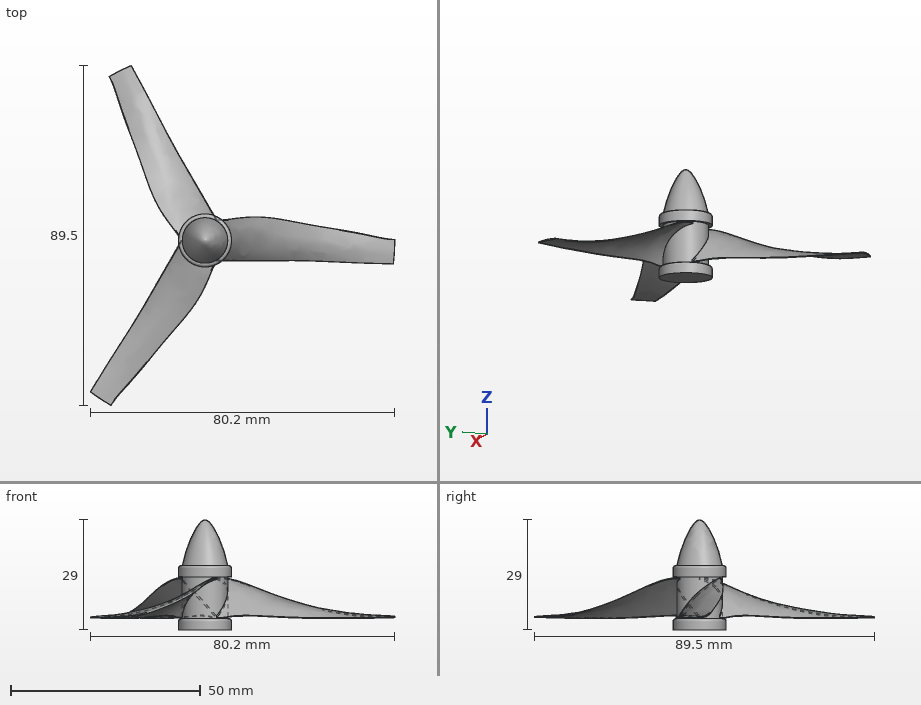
import cadquery as cq
import math

collar_diameter = 14.0
hub_diameter = 12.0
collar_height = 3.0
hub_height = 11.0
nose_height = 12.0
rim_fillet = 0.8

hub_radius = hub_diameter / 2
hub_bottom = collar_height
hub_top = hub_bottom + hub_height
nose_bottom = hub_top + collar_height
nose_tip = nose_bottom + nose_height

nose_base_handle = (5.0, 5.2)
nose_tip_handle = (2.0, nose_height)

blade_count = 3
propeller_radius = 50.0
blade_low_edge_thickness = 0.25
blade_high_edge_thickness = 0.3
blade_root_start = 3.0

blade_sections = [
    (4.8, (-5.30, 3.25), (5.30, 13.55), 1.15, 0.5),
    (10.0, (-5.30, 3.80), (5.90, 12.35), 1.15, 0.5),
    (16.0, (-5.30, 3.65), (5.95, 10.05), 1.1, 0.5),
    (24.0, (-5.30, 3.25), (4.70, 7.30), 1.0, 0.5),
    (33.0, (-5.60, 3.10), (3.10, 4.95), 0.85, 0.5),
    (42.0, (-6.0, 3.15), (1.50, 3.60), 0.5, 0.45),
    (51.0, (-6.3, 3.40), (0.15, 3.40), 0.1, 0.4),
]


def make_collar(bottom):
    """Disc with a rounded upper rim."""
    return (
        cq.Workplane("XY", origin=(0, 0, bottom))
        .circle(collar_diameter / 2)
        .extrude(collar_height)
        .faces(">Z")
        .edges()
        .fillet(rim_fillet)
    )


def make_spinner():
    """Collar with a round-tipped nose on top of it."""
    handles = [(radius, nose_bottom + height) for radius, height in (nose_base_handle, nose_tip_handle)]
    nose = (
        cq.Workplane("XZ")
        .moveTo(0, nose_bottom)
        .lineTo(hub_radius, nose_bottom)
        .bezier([*handles, (0, nose_tip)], includeCurrent=True)
        .close()
        .revolve(360, (0, 0, 0), (0, 1, 0))
    )
    return make_collar(hub_top).union(nose)


def section_wire(section, distance):
    """Closed outline of one bowed blade section, placed at a distance along X."""
    _, low, high, bow, thickness = section
    chord_y = high[0] - low[0]
    chord_z = high[1] - low[1]
    chord = math.hypot(chord_y, chord_z)
    along = (chord_y / chord, chord_z / chord)
    halfway = 0.5
    half_low_edge = blade_low_edge_thickness / 2
    half_high_edge = blade_high_edge_thickness / 2

    def place(fraction, offset):
        """Point at a fraction of the chord, counted from the low edge, and offset upward from it."""
        y = low[0] + fraction * chord_y - offset * along[1]
        z = low[1] + fraction * chord_z + offset * along[0]
        return cq.Vector(distance, y, z)

    upper_start = place(0, half_low_edge)
    lower_start = place(0, -half_low_edge)
    upper_end = place(1, half_high_edge)
    lower_end = place(1, -half_high_edge)
    high_edge = place(1 + half_high_edge / chord, 0)
    return cq.Wire.assembleEdges([
        cq.Edge.makeThreePointArc(upper_start, place(halfway, bow + thickness / 2), upper_end),
        cq.Edge.makeThreePointArc(upper_end, high_edge, lower_end),
        cq.Edge.makeThreePointArc(lower_end, place(halfway, bow - thickness / 2), lower_start),
        cq.Edge.makeLine(lower_start, upper_start),
    ])


def make_blade():
    """Twisted blade, straight where it enters the hub and cut round at its tip."""
    root = blade_sections[0]
    wires = [section_wire(section, section[0]) for section in blade_sections]
    swept = cq.Workplane(cq.Solid.makeLoft(wires))
    stub_ends = [section_wire(root, blade_root_start), section_wire(root, root[0])]
    stub = cq.Workplane(cq.Solid.makeLoft(stub_ends, True))
    envelope = cq.Workplane("XY").circle(propeller_radius).extrude(nose_tip)
    return swept.union(stub).intersect(envelope)


def make_propeller():
    """Plain cylindrical hub with equally spaced blades."""
    propeller = cq.Workplane("XY", origin=(0, 0, hub_bottom)).circle(hub_radius).extrude(hub_height)
    blade = make_blade()
    for index in range(blade_count):
        angle = index * 360 / blade_count
        propeller = propeller.union(blade.rotate((0, 0, 0), (0, 0, 1), angle))
    return propeller


base_collar = make_collar(0)
propeller = make_propeller()
spinner = make_spinner()

result = cq.Compound.makeCompound([base_collar.val(), propeller.val(), spinner.val()])